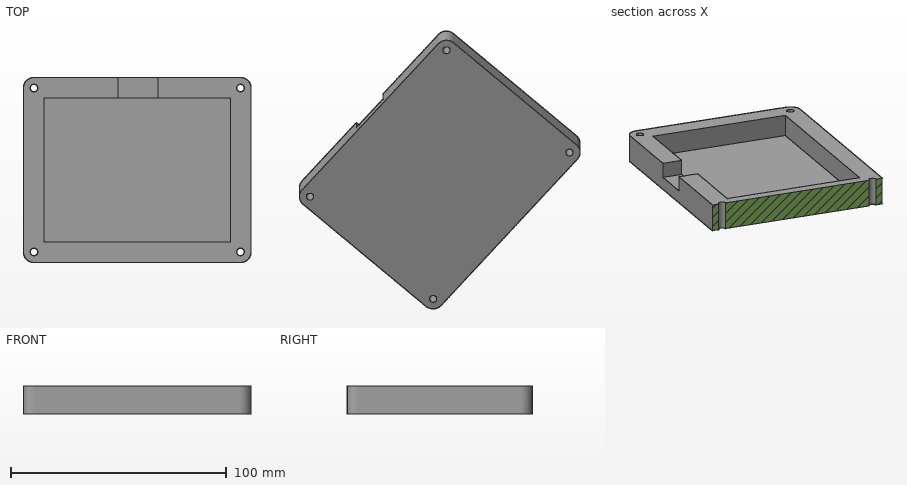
import cadquery as cq

length = 105.7
width = 86.0
height = 13.0
corner_radius = 5.0

wall = 9.5
floor_thickness = 3.0
notch_width = 18.6
notch_center_x = 0.4
notch_depth = 7.0

hole_diameter = 3.4


def make_block():
    block = cq.Workplane("XY").box(length, width, height, centered=(True, True, False))
    return block.edges("|Z").fillet(corner_radius)


def make_pocket():
    return (
        cq.Workplane("XY", origin=(0, 0, floor_thickness))
        .rect(length - 2 * wall, width - 2 * wall)
        .extrude(height - floor_thickness)
    )


def make_notch():
    """Opening cut down from the rim through the +Y wall."""
    return (
        cq.Workplane("XY", origin=(notch_center_x, (width - wall) / 2, height - notch_depth))
        .rect(notch_width, wall)
        .extrude(notch_depth)
    )


def make_screw_holes():
    return (
        cq.Workplane("XY")
        .rect(length - 2 * corner_radius, width - 2 * corner_radius, forConstruction=True)
        .vertices()
        .circle(hole_diameter / 2)
        .extrude(height)
    )


result = make_block().cut(make_pocket()).cut(make_notch()).cut(make_screw_holes())